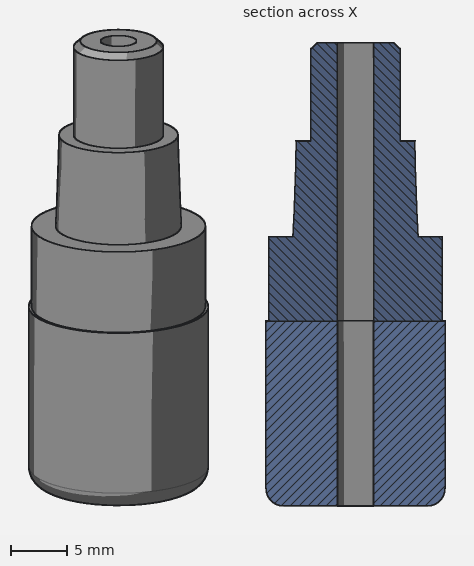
import cadquery as cq
import math

total_height = 41.25
bore_radius = 1.6

base_radius = 8.0
base_height = 16.5
base_rim_fillet = 1.6

flange_radius = 7.75
flange_top = 24.0
collar_bottom_radius = 5.6
collar_top = 32.5
collar_draft = 2.0
tip_radius = 4.0
tip_chamfer_width = 0.6
tip_chamfer_height = 0.55


def make_base():
    """Sleeve standing on Z = 0, bored through."""
    sleeve = cq.Workplane("XY").circle(base_radius).extrude(base_height)
    sleeve = sleeve.faces("<Z").edges().fillet(base_rim_fillet)
    return sleeve.faces(">Z").workplane().hole(2 * bore_radius)


def make_stem():
    """Stepped tube seated on the base, revolved from its half profile."""
    collar_narrowing = (collar_top - flange_top) * math.tan(math.radians(collar_draft))
    collar_top_radius = collar_bottom_radius - collar_narrowing
    profile = (
        cq.Workplane("XZ")
        .moveTo(bore_radius, base_height)
        .lineTo(flange_radius, base_height)
        .lineTo(flange_radius, flange_top)
        .lineTo(collar_bottom_radius, flange_top)
        .lineTo(collar_top_radius, collar_top)
        .lineTo(tip_radius, collar_top)
        .lineTo(tip_radius, total_height - tip_chamfer_height)
        .lineTo(tip_radius - tip_chamfer_width, total_height)
        .lineTo(bore_radius, total_height)
        .close()
    )
    return profile.revolve(360, (0, 0, 0), (0, 1, 0))


base = make_base()
stem = make_stem()

result = cq.Compound.makeCompound([base.val(), stem.val()])